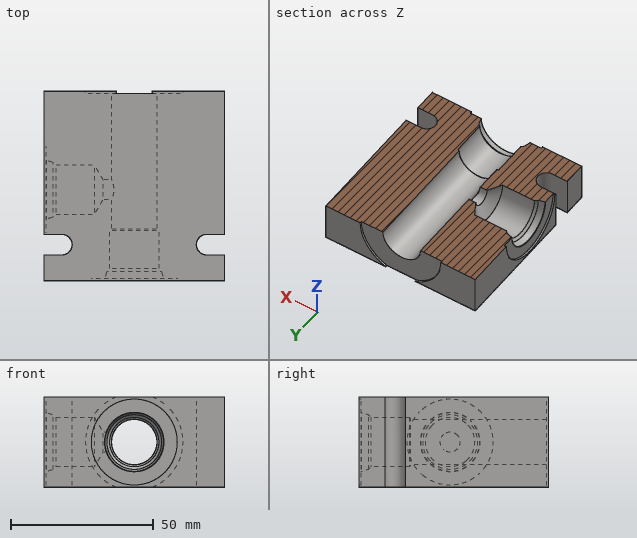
import cadquery as cq
import math

block_width = 63.5
block_length = 66.55
block_height = 31.75
front_y = -block_length / 2
back_y = block_length / 2
left_x = -block_width / 2

slot_width = 7.14
slot_centre_from_side = 6.35
slot_centre_from_front = 12.7

port_spotface_diameter = 30.18
back_spotface_diameter = 34.13
spotface_depth = 0.76

seat_mouth_diameter = 20.9
seat_rim_diameter = 20.6
seat_rim_depth = 0.15
seat_end_diameter = 19.2
seat_depth = 2.54
thread_diameter = 17.3
thread_start_depth = 3.5
thread_end_depth = 17.0
drill_point_angle = 118.0

main_bore_diameter = 15.88
cross_hole_diameter = 7.0
side_port_from_front = 32.0
side_port_y = front_y + side_port_from_front


def drill_point_length(start_diameter, end_diameter):
    """Axial length of the drill cone between two diameters."""
    half_angle = math.radians(drill_point_angle / 2)
    return (start_diameter - end_diameter) / 2 / math.tan(half_angle)


def disc(diameter, depth):
    """Cylinder from the XY plane up to the given depth."""
    return cq.Workplane("XY").circle(diameter / 2).extrude(depth)


def port_cutter(passage_diameter):
    """Port with its mouth on the XY plane, running along +Z down to the passage diameter."""
    floor = spotface_depth
    point_end_depth = thread_end_depth + drill_point_length(thread_diameter, passage_diameter)
    profile = [
        (0, floor),
        (seat_mouth_diameter / 2, floor),
        (seat_rim_diameter / 2, floor + seat_rim_depth),
        (seat_end_diameter / 2, floor + seat_depth),
        (thread_diameter / 2, floor + thread_start_depth),
        (thread_diameter / 2, floor + thread_end_depth),
        (passage_diameter / 2, floor + point_end_depth),
        (0, floor + point_end_depth),
    ]
    bore = cq.Workplane("XZ").polyline(profile).close().revolve(360, (0, 0, 0), (0, 1, 0))
    return disc(port_spotface_diameter, spotface_depth).union(bore)


def point_along_y(cutter):
    """Turn a cutter that runs along +Z so that it runs along +Y."""
    return cutter.rotate((0, 0, 0), (1, 0, 0), -90)


def point_along_x(cutter):
    """Turn a cutter that runs along +Z so that it runs along +X."""
    return cutter.rotate((0, 0, 0), (0, 1, 0), 90)


def mounting_slot(side):
    """Round-ended slot open to one X side: side is -1 for left, +1 for right."""
    slot_length = 2 * slot_centre_from_side + slot_width
    return (
        cq.Workplane("XY")
        .center(side * block_width / 2, front_y + slot_centre_from_front)
        .slot2D(slot_length, slot_width)
        .extrude(block_height, both=True)
    )


result = cq.Workplane("XY").box(block_width, block_length, block_height)

for side in (-1, 1):
    result = result.cut(mounting_slot(side))

main_bore = point_along_y(disc(main_bore_diameter, block_length))
front_port = point_along_y(port_cutter(main_bore_diameter))
result = result.cut(main_bore.translate((0, front_y, 0)))
result = result.cut(front_port.translate((0, front_y, 0)))

cross_hole = point_along_x(disc(cross_hole_diameter, block_width / 2))
left_port = point_along_x(port_cutter(cross_hole_diameter))
result = result.cut(cross_hole.translate((left_x, side_port_y, 0)))
result = result.cut(left_port.translate((left_x, side_port_y, 0)))

back_spotface = point_along_y(disc(back_spotface_diameter, spotface_depth))
result = result.cut(back_spotface.translate((0, back_y - spotface_depth, 0)))